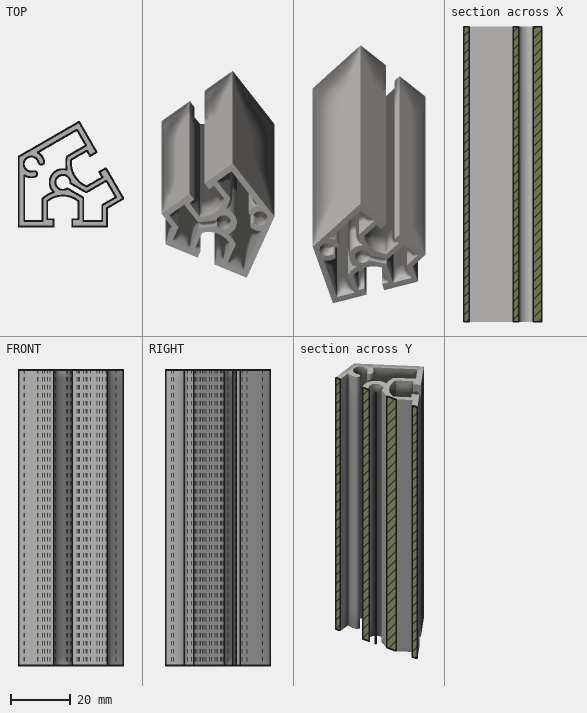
import cadquery as cq
import math

length = 100.0
face_width = 30.0
mirror_angle = -30.0

outer_wall = 2.0
thin_wall = 1.7

slot_opening = 6.2
lip_depth = 2.6
channel_half_width = 5.2
channel_shoulder = 8.7
channel_crown = 10.5

bore_radius = 2.5
tube_wall = 2.0
tube_radius = bore_radius + tube_wall
slit_half_width = 1.0
corner_bore_x = 4.3
corner_opening_half_angle = 43.0
corner_tip_radius = tube_wall / 2

slope = math.tan(math.radians(mirror_angle))
center = face_width / 2
corner_height = center - center * slope
mirror_direction = cq.Vector(math.cos(math.radians(mirror_angle)), math.sin(math.radians(mirror_angle)))
mirror_normal = cq.Vector(-mirror_direction.y, mirror_direction.x, 0)
mirror_point = (0, corner_height, 0)


def mirror_line_y(x):
    return corner_height + slope * x


def extrude_polygon(points):
    return cq.Workplane("XY").polyline(points).close().extrude(length)


def cylinder(x, y, radius):
    return cq.Workplane("XY").center(x, y).circle(radius).extrude(length)


def mirrored_pair(half):
    return half.union(half.mirror(mirror_normal, mirror_point))


def half_section(left, right, bottom):
    """Region between two upright walls, a floor and the mirror line."""
    return extrude_polygon([
        (left, bottom), (right, bottom), (right, mirror_line_y(right)), (left, mirror_line_y(left)),
    ])


crown_rise = channel_crown - channel_shoulder
crown_radius = (channel_half_width**2 + crown_rise**2) / (2 * crown_rise)
crown_center_y = channel_crown - crown_radius
wall_half_width = channel_half_width + thin_wall
wall_crown_radius = crown_radius + thin_wall


def wall_arc_point(offset):
    return (center + offset, crown_center_y + math.sqrt(wall_crown_radius**2 - offset**2))


def channel_wall():
    """Solid block around the slot, with a straight flank along the central slit."""
    slit_drop = slit_half_width / mirror_direction.x
    right = center + wall_half_width
    flank_start = center + slit_half_width
    return (
        cq.Workplane("XY")
        .moveTo(center - wall_half_width, 0)
        .lineTo(*wall_arc_point(-wall_half_width))
        .threePointArc(wall_arc_point(-wall_half_width / 2), wall_arc_point(0))
        .lineTo(flank_start, mirror_line_y(flank_start) - slit_drop)
        .lineTo(right, mirror_line_y(right) - slit_drop)
        .lineTo(right, 0)
        .close()
        .extrude(length)
    )


def slot_space():
    """Narrow mouth and arched channel of one T-slot."""
    mouth = extrude_polygon([
        (center - slot_opening / 2, 0), (center + slot_opening / 2, 0),
        (center + slot_opening / 2, lip_depth), (center - slot_opening / 2, lip_depth),
    ])
    channel = (
        cq.Workplane("XY")
        .moveTo(center - channel_half_width, lip_depth)
        .lineTo(center - channel_half_width, channel_shoulder)
        .threePointArc((center, channel_crown), (center + channel_half_width, channel_shoulder))
        .lineTo(center + channel_half_width, lip_depth)
        .close()
        .extrude(length)
    )
    return mouth.union(channel)


def slit(start_x, end_x):
    """Gap between the flanks, centred on the mirror line."""
    run = (end_x - start_x) / mirror_direction.x
    return (
        cq.Workplane("XY")
        .transformed(offset=(start_x, mirror_line_y(start_x), 0), rotate=(0, 0, mirror_angle))
        .rect(run, 2 * slit_half_width, centered=(False, True))
        .extrude(length)
    )


def corner_opening():
    """Wedge that opens the corner tube towards the centre."""
    reach = 2 * tube_radius
    points = [(corner_bore_x, mirror_line_y(corner_bore_x))]
    for side in (-1, 1):
        angle = math.radians(mirror_angle + side * corner_opening_half_angle)
        points.append((points[0][0] + reach * math.cos(angle), points[0][1] + reach * math.sin(angle)))
    return extrude_polygon(points)


def corner_tip():
    """Rounded end of the lower arm of the corner tube."""
    angle = math.radians(mirror_angle - corner_opening_half_angle)
    radius = bore_radius + tube_wall / 2
    x = corner_bore_x + radius * math.cos(angle)
    y = mirror_line_y(corner_bore_x) + radius * math.sin(angle)
    return cylinder(x, y, corner_tip_radius)


corner_y = mirror_line_y(corner_bore_x)
envelope = mirrored_pair(half_section(0, face_width, 0))
cavity = mirrored_pair(half_section(outer_wall, face_width - thin_wall, outer_wall))
shell = envelope.cut(cavity)

corner_tube = cylinder(corner_bore_x, corner_y, tube_radius).cut(corner_opening()).intersect(envelope)
body = (
    shell
    .union(mirrored_pair(channel_wall()))
    .union(cylinder(center, center, tube_radius))
    .union(corner_tube)
    .cut(cylinder(center, center, bore_radius))
    .cut(cylinder(corner_bore_x, corner_y, bore_radius))
    .cut(slit(center, center + wall_half_width))
    .union(mirrored_pair(corner_tip()))
)
result = body.cut(mirrored_pair(slot_space()))